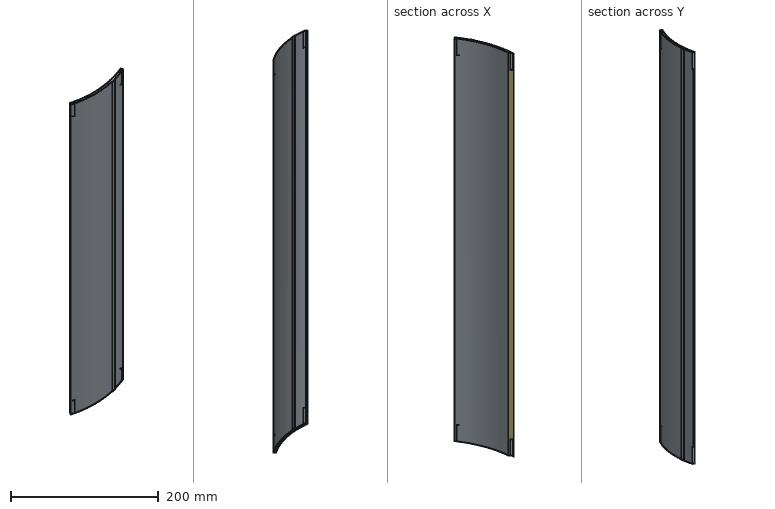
import cadquery as cq
import math

length = 600.0
outer_radius = 150.0
thickness = 3.5
upper_edge_y = 24.0
lower_edge_y = -72.0
rib_center_y = -0.5
rib_width = 6.0
rib_height = 0.5
hole_diameter = 3.3
hole_depth = 24.5
hole_inset = 5.0

upper_angle = math.asin(upper_edge_y / outer_radius)
lower_angle = math.asin(lower_edge_y / outer_radius)
inset_angle = hole_inset / outer_radius
rib_angle = math.asin(rib_center_y / outer_radius)
rib_half_angle = rib_width / outer_radius / 2


def arc_point(radius, angle):
    """Point at a polar position about the arc axis, with the slat's crest at the origin."""
    return (radius * math.cos(angle) - outer_radius, radius * math.sin(angle))


def curved_strip(inner, outer, start, end):
    """Full-length strip between two concentric arcs."""
    middle = (start + end) / 2
    return (
        cq.Workplane("XY")
        .moveTo(*arc_point(outer, start))
        .threePointArc(arc_point(outer, middle), arc_point(outer, end))
        .lineTo(*arc_point(inner, end))
        .threePointArc(arc_point(inner, middle), arc_point(inner, start))
        .close()
        .extrude(length)
    )


slat = curved_strip(outer_radius - thickness, outer_radius, lower_angle, upper_angle)
rib = curved_strip(
    outer_radius - thickness / 2,
    outer_radius + rib_height,
    rib_angle - rib_half_angle,
    rib_angle + rib_half_angle,
)
result = slat.union(rib)

mid_radius = outer_radius - thickness / 2
hole_centers = [
    arc_point(mid_radius, upper_angle - inset_angle),
    arc_point(mid_radius, lower_angle + inset_angle),
]
for hole_start in (0, length - hole_depth):
    holes = (
        cq.Workplane("XY", origin=(0, 0, hole_start))
        .pushPoints(hole_centers)
        .circle(hole_diameter / 2)
        .extrude(hole_depth)
    )
    result = result.cut(holes)